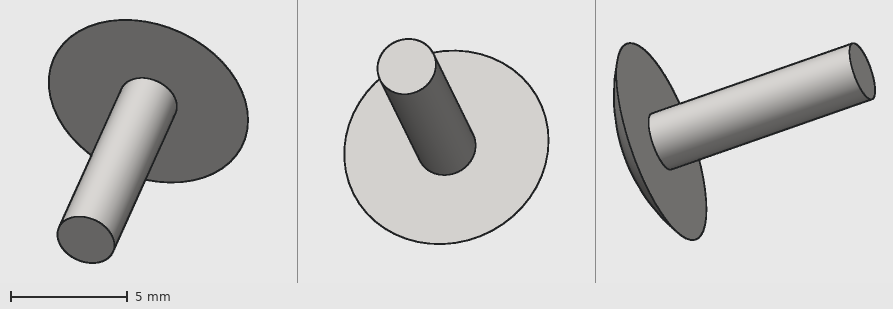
import cadquery as cq

total_length = 10.96
head_diameter = 8.89
head_height = 1.42
shank_diameter = 2.54

shank_length = total_length - head_height
head_radius = head_diameter / 2
dome_radius = (head_radius**2 + head_height**2) / (2 * head_height)


def make_head():
    """Spherical cap with its flat face at Y = 0 and its crown toward +Y."""
    arc_mid_x = head_radius / 2
    dome_center_y = head_height - dome_radius
    arc_mid_y = dome_center_y + (dome_radius**2 - arc_mid_x**2) ** 0.5
    return (
        cq.Workplane("XY")
        .lineTo(head_radius, 0)
        .threePointArc((arc_mid_x, arc_mid_y), (0, head_height))
        .close()
        .revolve(360, (0, 0, 0), (0, 1, 0))
    )


def make_shank():
    """Plain cylinder running from the head underside toward -Y."""
    return cq.Workplane("XZ").circle(shank_diameter / 2).extrude(shank_length)


result = make_head().union(make_shank())